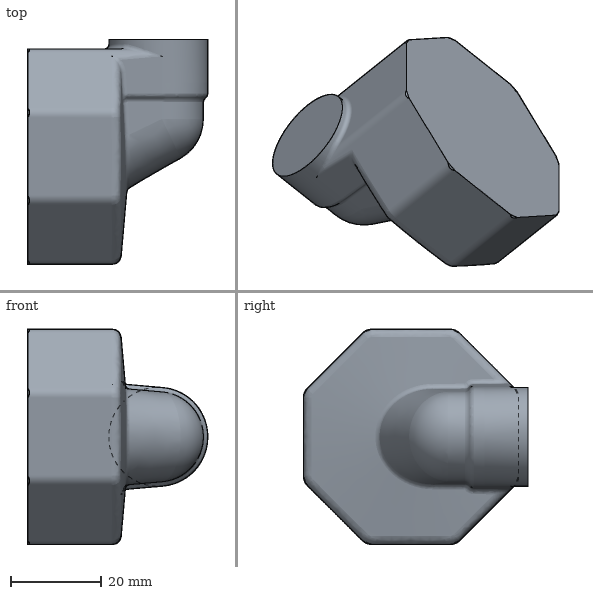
import cadquery as cq
import math

across_flats = 47.8
corner_radius = 3.0
rim_x = 20.62
front_slope = math.radians(5)
rim_radius = 2.0
relief_radius = 25.4
relief_slope = math.radians(63)

spout_x = 29.0
spout_end_y = 26.0
socket_radius = 11.0
pipe_radius = 10.0
elbow_y = 8.3
elbow_slope = math.radians(30)
wall_draft = math.radians(5)
step_y = 13.0
step_length = 0.75
base_length = 3.0

shoulder_radius = 1.5
step_radius = 1.2
root_radius = 1.2
collar_radius = 1.0

half_flats = across_flats / 2
apex_x = rim_x + half_flats * math.tan(front_slope)
root_x = 15.0
spout_far_x = spout_x + socket_radius
wall_reach = 13.0
step_top = step_y + step_length / 2
step_bottom = step_y - step_length / 2
base_top = step_top + base_length
slack = 0.1


def box(x, y, z):
    """Select edges whose centres lie in the given ranges."""
    return cq.selectors.BoxSelector((x[0], y[0], z[0]), (x[1], y[1], z[1]))


def octagon(length):
    """Octagonal bar with rounded corners, running from x = 0."""
    across_corners = across_flats / math.cos(math.pi / 8)
    return (
        cq.Workplane("YZ")
        .transformed(rotate=(0, 0, 22.5))
        .polygon(8, across_corners)
        .extrude(length)
        .edges("|X")
        .fillet(corner_radius)
    )


def make_housing():
    reach = half_flats + corner_radius
    envelope = (
        cq.Workplane("XY")
        .lineTo(0, relief_radius)
        .lineTo((reach - relief_radius) * math.tan(relief_slope), reach)
        .lineTo(apex_x - reach * math.tan(front_slope), reach)
        .lineTo(apex_x, 0)
        .close()
        .revolve(360, (0, 0, 0), (1, 0, 0))
    )
    rim = box((rim_x - 0.5, rim_x + 0.5), (-reach, reach), (-reach, reach))
    return octagon(apex_x).intersect(envelope).edges(rim).fillet(rim_radius)


def wall_corners(radius):
    """Where a drafted wall touches the round nose (x, z), and its z at the root."""
    tangent_x = spout_x + radius * math.sin(wall_draft)
    tangent_z = radius * math.cos(wall_draft)
    root_z = tangent_z + (tangent_x - root_x) * math.tan(wall_draft)
    return tangent_x, tangent_z, root_z


def arch(radius, y):
    """Outline across Y: round nose, with drafted sides widening towards the housing."""
    tangent_x, tangent_z, root_z = wall_corners(radius)
    return (
        cq.Workplane("XZ", origin=(0, y, 0))
        .moveTo(root_x, -root_z)
        .lineTo(tangent_x, -tangent_z)
        .threePointArc((spout_x + radius, 0), (tangent_x, tangent_z))
        .lineTo(root_x, root_z)
        .close()
    )


axis_slope = math.atan((math.sin(elbow_slope) - math.sin(wall_draft)) / math.cos(elbow_slope))
spread = elbow_slope - axis_slope


def make_elbow():
    """Ball at the bend with the widening pipe that runs back into the housing."""
    length = 13.0
    along = cq.Plane(
        origin=(spout_x, elbow_y, 0),
        xDir=(-math.cos(axis_slope), -math.sin(axis_slope), 0),
        normal=(0, 0, 1),
    )
    ball_end = -pipe_radius * math.sin(spread)
    ball_end_radius = pipe_radius * math.cos(spread)
    diagonal = pipe_radius * math.sqrt(0.5)
    return (
        cq.Workplane(along)
        .moveTo(-pipe_radius, 0)
        .threePointArc((-diagonal, diagonal), (ball_end, ball_end_radius))
        .lineTo(length, ball_end_radius + (length - ball_end) * math.tan(spread))
        .lineTo(length, 0)
        .close()
        .revolve(360, (0, 0, 0), (1, 0, 0))
    )


def make_pipe_walls():
    """Pipe between step and elbow, with its walls down to where the bent pipe takes over."""
    tangent_x = wall_corners(pipe_radius)[0]
    tangent_drop = (tangent_x - root_x) * math.tan(axis_slope) / math.cos(wall_draft) ** 2
    outline = (
        cq.Workplane("XY", origin=(0, 0, -wall_reach))
        .moveTo(root_x, step_bottom)
        .lineTo(spout_far_x, step_bottom)
        .lineTo(spout_far_x, elbow_y)
        .lineTo(tangent_x, elbow_y)
        .lineTo(root_x, elbow_y - tangent_drop)
        .close()
        .extrude(2 * wall_reach)
    )
    return outline.intersect(arch(pipe_radius, step_bottom).extrude(step_bottom + half_flats))


def make_step():
    """Sloping transition between the pipe and socket outlines."""
    lower = arch(pipe_radius, step_bottom).wires().val()
    upper = arch(socket_radius, step_top).wires().val()
    return cq.Workplane(cq.Solid.makeLoft([lower, upper], True))


def make_socket_base():
    """Lower part of the socket, with its side walls."""
    return arch(socket_radius, step_top).extrude(-base_length)


def make_socket_web():
    """Wedge joining the socket to the housing, rounded where its walls meet the slanted flats."""
    tangent_x, tangent_z, root_z = wall_corners(socket_radius)
    web = (
        cq.Workplane("XZ", origin=(0, base_top, 0))
        .moveTo(root_x, -root_z)
        .lineTo(tangent_x, -tangent_z)
        .lineTo(tangent_x, tangent_z)
        .lineTo(root_x, root_z)
        .close()
        .extrude(base_top - spout_end_y)
        .intersect(octagon(spout_far_x))
    )
    shoulder_x = (root_x + slack, spout_x)
    shoulder_y = (half_flats - corner_radius, half_flats)
    upper = box(shoulder_x, shoulder_y, (socket_radius, wall_reach))
    lower = box(shoulder_x, shoulder_y, (-wall_reach, -socket_radius))
    return web.edges(upper + lower).fillet(shoulder_radius)


def make_socket():
    """Round socket standing out beyond the +Y flat of the housing."""
    return (
        cq.Workplane("XZ", origin=(spout_x, spout_end_y, 0))
        .circle(socket_radius)
        .extrude(spout_end_y - base_top)
    )


def make_spout():
    pipe = make_pipe_walls().union(make_elbow())
    lower_part = pipe.union(make_step()).union(make_socket_base()).clean()
    upper_part = make_socket_web().union(make_socket())
    return upper_part.union(lower_part).clean()


def blend_collar(body):
    """Round the corner where the socket rises from the +Y end of the octagon."""
    x_range = (spout_x - socket_radius, spout_x - 2)
    y_range = (half_flats - 1, half_flats + slack)
    z_range = (-socket_radius, socket_radius)
    return body.edges(box(x_range, y_range, z_range)).fillet(collar_radius)


def blend_step(body, y):
    """Round the edge around the nose and its tangent side walls at the given height."""
    nose = box((spout_x, spout_far_x), (y - slack, y + slack), (-slack, slack))
    return body.edges(nose).fillet(step_radius)


def blend_root(body):
    """Round the corner where the spout leaves the conical front."""
    x_range = (rim_x - 0.5, apex_x - 0.5)
    y_range = (-half_flats / 4, half_flats - corner_radius)
    z_range = (-half_flats / 2, half_flats / 2)
    return body.edges(box(x_range, y_range, z_range)).fillet(root_radius)


result = make_housing().union(make_spout())
result = blend_collar(result)
for edge_y in (step_top, step_bottom):
    result = blend_step(result, edge_y)
result = blend_root(result)